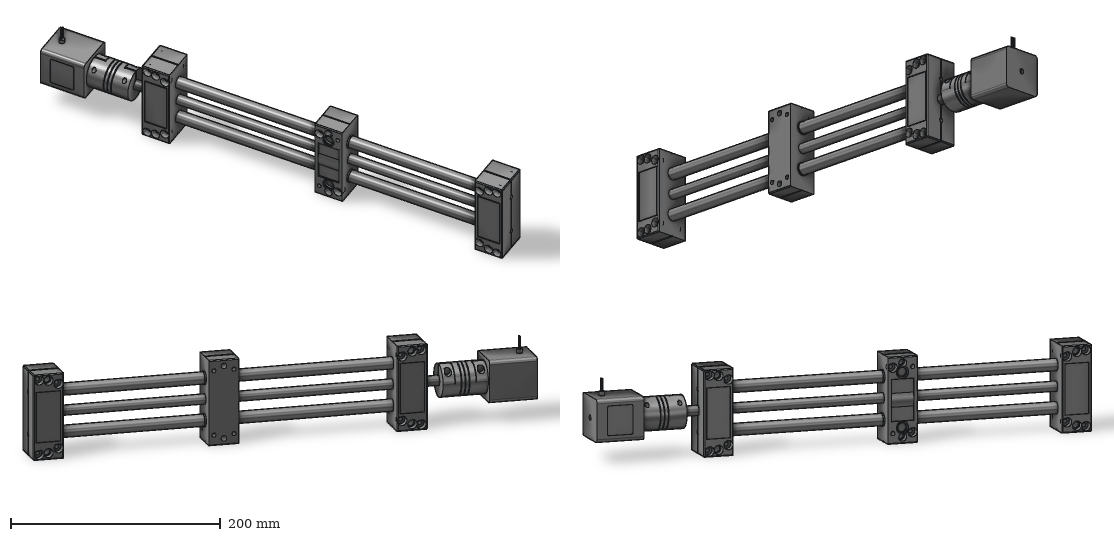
import cadquery as cq

MOTOR_LENGTH = 47.5
MOTOR_WIDTH = 42.0
MOTOR_CORNER_RADIUS = 3.5
LABEL_LENGTH = 25.5
LABEL_HEIGHT = 29.0
LABEL_CORNER_RADIUS = 1.5
LABEL_DEPTH = 0.5
LABEL_X = 23.5
REAR_HOLE_DIAMETER = 5.0
REAR_HOLE_DEPTH = 2.5
GROMMET_X = 12.0
GROMMET_DIAMETER = 5.5
GROMMET_HEIGHT = 4.0
WIRE_DIAMETER = 1.0
WIRE_COUNT = 4
WIRE_PITCH = 1.25
WIRE_TOP_Z = 37.5

COUPLING_LENGTH = 45.0
COUPLING_DIAMETER = 33.0
COUPLING_MID_X = MOTOR_LENGTH + COUPLING_LENGTH / 2
FLEX_SLIT_COUNT = 3
FLEX_SLIT_PITCH = 4.0
FLEX_SLIT_WIDTH = 0.5
FLEX_SLIT_DEPTH = 1.5
CLAMP_LENGTH = 12.0
CLAMP_SLIT_WIDTH = 1.5
CROSS_SLIT_WIDTH = 0.5
CLAMP_SCREW_OFFSET = 16.5
CLAMP_SCREW_Z = 11.0
CLAMP_SCREW_DIAMETER = 4.0
CLAMP_HEAD_DIAMETER = 7.0
CLAMP_HEAD_SEAT_Y = 8.0

SCREW_DIAMETER = 10.0
SCREW_START_X = MOTOR_LENGTH + COUPLING_LENGTH - CLAMP_LENGTH
ROD_DIAMETER = 12.0
ROD_OFFSET = 21.0

OVERALL_LENGTH = 499.5
BLOCK_LENGTH = 30.0
BLOCK_WIDTH = 37.0
BLOCK_HEIGHT = 85.0
BLOCK_CHAMFER = 1.0
FIRST_BLOCK_X = 123.5
LAST_BLOCK_X = OVERALL_LENGTH - BLOCK_LENGTH / 2
BLOCK_POCKET_LENGTH = 24.0
BLOCK_POCKET_HEIGHT = 50.0
BLOCK_POCKET_DEPTH = 1.0
SEAM_WIDTH = 0.75
SEAM_DEPTH = 0.5
ROD_END_HOLE_DIAMETER = 4.0
ROD_END_HOLE_DEPTH = 5.0
MOUNT_HOLE_DIAMETER = 6.5
MOUNT_HEAD_DIAMETER = 9.0
MOUNT_HOLE_Z = 36.0
JOINT_HOLE_DIAMETER = 4.0
JOINT_HEAD_DIAMETER = 9.0
HEAD_DEPTH = 7.0
INNER_JOINT_OFFSET = 10.0
INNER_JOINT_Z = 32.0
OUTER_JOINT_OFFSET = 9.0
OUTER_JOINT_Z = 37.0

CARRIAGE_X = 309.5
CARRIAGE_LENGTH = 29.5
CARRIAGE_WIDTH = 32.0
CARRIAGE_CHAMFER = 1.0
CARRIAGE_POCKET_LENGTH = 22.5
CARRIAGE_POCKET_HEIGHT = 41.0
CARRIAGE_POCKET_DEPTH = 1.5
NUT_HOUSING_DIAMETER = CARRIAGE_WIDTH
BUSH_DIAMETER = 13.0
BUSH_LENGTH = 1.5
CARRIAGE_SEAM = 0.5
CENTRE_HOLE_DIAMETER = 5.5
CENTRE_HEAD_DIAMETER = 8.0
CARRIAGE_HEAD_DIAMETER = 9.0
CARRIAGE_JOINT_X = 10.0
PLAIN_HOLE_DIAMETER = 4.0
DOWEL_Z = 27.0
DOWEL_RECESS_DIAMETER = 12.0
DOWEL_HOLE_DIAMETER = 9.0
DOWEL_RECESS_DEPTH = 1.5
DOWEL_HOLE_DEPTH = 4.0


def rod_along_x(diameter, start_x, end_x, z=0.0):
    """Solid cylinder parallel to X."""
    length = end_x - start_x
    return cq.Workplane("YZ", origin=(start_x, 0, z)).circle(diameter / 2).extrude(length)


def rod_along_y(diameter, x, z, start_y, end_y):
    """Solid cylinder parallel to Y."""
    plane = cq.Workplane("XZ", origin=(x, start_y, z))
    return plane.circle(diameter / 2).extrude(start_y - end_y)


def box(length, width, height, centre):
    """Box with sides along X, Y and Z, placed by its centre."""
    return cq.Workplane("XY").box(length, width, height).translate(centre)


def make_motor():
    motor = box(MOTOR_LENGTH, MOTOR_WIDTH, MOTOR_WIDTH, (MOTOR_LENGTH / 2, 0, 0))
    motor = motor.edges("|X").fillet(MOTOR_CORNER_RADIUS)

    label = box(LABEL_LENGTH, 2 * LABEL_DEPTH, LABEL_HEIGHT, (LABEL_X, -MOTOR_WIDTH / 2, 0))
    motor = motor.cut(label.edges("|Y").fillet(LABEL_CORNER_RADIUS))
    motor = motor.cut(rod_along_x(REAR_HOLE_DIAMETER, 0, REAR_HOLE_DEPTH))

    top = cq.Workplane("XY", origin=(GROMMET_X, 0, MOTOR_WIDTH / 2))
    motor = motor.union(top.circle(GROMMET_DIAMETER / 2).extrude(GROMMET_HEIGHT))
    wires = top.rarray(5, WIRE_PITCH, 1, WIRE_COUNT).circle(WIRE_DIAMETER / 2)
    return motor.union(wires.extrude(WIRE_TOP_Z - MOTOR_WIDTH / 2))


def make_coupling():
    radius = COUPLING_DIAMETER / 2
    end_x = MOTOR_LENGTH + COUPLING_LENGTH
    coupling = rod_along_x(COUPLING_DIAMETER, MOTOR_LENGTH, end_x)

    for index in range(FLEX_SLIT_COUNT):
        slit_x = COUPLING_MID_X + (index - (FLEX_SLIT_COUNT - 1) / 2) * FLEX_SLIT_PITCH
        slit_start = slit_x - FLEX_SLIT_WIDTH / 2
        slit = cq.Workplane("YZ", origin=(slit_start, 0, 0)).circle(radius)
        coupling = coupling.cut(slit.circle(radius - FLEX_SLIT_DEPTH).extrude(FLEX_SLIT_WIDTH))

    for side in (-1, 1):
        clamp_x = COUPLING_MID_X + side * (COUPLING_LENGTH - CLAMP_LENGTH) / 2
        cross_x = COUPLING_MID_X + side * (COUPLING_LENGTH / 2 - CLAMP_LENGTH)
        screw_x = COUPLING_MID_X + side * CLAMP_SCREW_OFFSET
        coupling = coupling.cut(box(CLAMP_LENGTH, CLAMP_SLIT_WIDTH, radius, (clamp_x, 0, radius / 2)))
        coupling = coupling.cut(box(CROSS_SLIT_WIDTH, radius, radius, (cross_x, radius / 2, radius / 2)))
        coupling = coupling.cut(rod_along_y(CLAMP_SCREW_DIAMETER, screw_x, CLAMP_SCREW_Z, -radius, 0))
        coupling = coupling.cut(
            rod_along_y(CLAMP_HEAD_DIAMETER, screw_x, CLAMP_SCREW_Z, CLAMP_HEAD_SEAT_Y, radius)
        )
    return coupling


def make_screw():
    """Screw running from the coupling clamp to the middle of the last end block."""
    return rod_along_x(SCREW_DIAMETER, SCREW_START_X, LAST_BLOCK_X)


def cut_two_sided_hole(body, x, z, hole_diameter, head_diameter):
    """Hole through Y with a counterbore in both the -Y and +Y faces."""
    half_width = BLOCK_WIDTH / 2
    body = body.cut(rod_along_y(hole_diameter, x, z, -half_width, half_width))
    for side in (-1, 1):
        seat_y = side * (half_width - HEAD_DEPTH)
        body = body.cut(rod_along_y(head_diameter, x, z, seat_y, side * half_width))
    return body


def make_end_block(centre_x, outward):
    """End block; outward is the X direction pointing away from the carriage."""
    outer_face = ">X" if outward > 0 else "<X"
    block = box(BLOCK_LENGTH, BLOCK_WIDTH, BLOCK_HEIGHT, (centre_x, 0, 0))
    block = block.faces(f"{outer_face} or <Y or >Y").edges().chamfer(BLOCK_CHAMFER)

    outer_x = centre_x + outward * BLOCK_LENGTH / 2
    block = block.cut(box(2 * SEAM_DEPTH, SEAM_WIDTH, BLOCK_HEIGHT, (outer_x, 0, 0)))
    for side in (-1, 1):
        seam_centre = (centre_x, 0, side * BLOCK_HEIGHT / 2)
        block = block.cut(box(BLOCK_LENGTH, SEAM_WIDTH, 2 * SEAM_DEPTH, seam_centre))
        pocket_centre = (centre_x, side * BLOCK_WIDTH / 2, 0)
        pocket = box(BLOCK_POCKET_LENGTH, 2 * BLOCK_POCKET_DEPTH, BLOCK_POCKET_HEIGHT, pocket_centre)
        block = block.cut(pocket)

    inner_x = centre_x - outward * INNER_JOINT_OFFSET
    joint_x = centre_x + outward * OUTER_JOINT_OFFSET
    for side in (-1, 1):
        block = cut_two_sided_hole(
            block, centre_x, side * MOUNT_HOLE_Z, MOUNT_HOLE_DIAMETER, MOUNT_HEAD_DIAMETER
        )
        block = cut_two_sided_hole(
            block, inner_x, side * INNER_JOINT_Z, JOINT_HOLE_DIAMETER, JOINT_HEAD_DIAMETER
        )
        block = cut_two_sided_hole(
            block, joint_x, side * OUTER_JOINT_Z, JOINT_HOLE_DIAMETER, JOINT_HEAD_DIAMETER
        )
    return block


def cut_rod_end_holes(frame):
    """Blind holes on the rod axes, in the outer face at each end of the frame."""
    first_x = FIRST_BLOCK_X - BLOCK_LENGTH / 2
    for side in (-1, 1):
        for start_x in (first_x, OVERALL_LENGTH - ROD_END_HOLE_DEPTH):
            end_x = start_x + ROD_END_HOLE_DEPTH
            frame = frame.cut(rod_along_x(ROD_END_HOLE_DIAMETER, start_x, end_x, side * ROD_OFFSET))
    return frame


def make_frame(screw):
    """Two end blocks joined by the guide rods."""
    frame = make_end_block(FIRST_BLOCK_X, -1)
    for side in (-1, 1):
        frame = frame.union(rod_along_x(ROD_DIAMETER, FIRST_BLOCK_X, LAST_BLOCK_X, side * ROD_OFFSET))
    frame = frame.union(make_end_block(LAST_BLOCK_X, 1))
    return cut_rod_end_holes(frame).cut(screw)


def make_carriage(screw):
    front_y = -CARRIAGE_WIDTH / 2
    carriage = box(CARRIAGE_LENGTH, CARRIAGE_WIDTH, BLOCK_HEIGHT, (CARRIAGE_X, 0, 0))
    carriage = carriage.edges("|X").chamfer(CARRIAGE_CHAMFER)

    pocket_width = 2 * CARRIAGE_POCKET_DEPTH
    pocket = box(CARRIAGE_POCKET_LENGTH, pocket_width, CARRIAGE_POCKET_HEIGHT, (CARRIAGE_X, front_y, 0))
    half_length = CARRIAGE_LENGTH / 2
    start_x = CARRIAGE_X - half_length
    end_x = CARRIAGE_X + half_length
    carriage = carriage.cut(pocket.cut(rod_along_x(NUT_HOUSING_DIAMETER, start_x, end_x)))

    for side in (-1, 1):
        seam_centre = (CARRIAGE_X, 0, side * BLOCK_HEIGHT / 2)
        carriage = carriage.cut(box(CARRIAGE_LENGTH, CARRIAGE_SEAM, 2 * SEAM_DEPTH, seam_centre))

        rod_z = side * ROD_OFFSET
        carriage = carriage.union(
            rod_along_x(BUSH_DIAMETER, start_x - BUSH_LENGTH, end_x + BUSH_LENGTH, rod_z)
        )
        carriage = carriage.cut(rod_along_x(ROD_DIAMETER, FIRST_BLOCK_X, LAST_BLOCK_X, rod_z))

        hole_z = side * MOUNT_HOLE_Z
        carriage = carriage.cut(rod_along_y(CENTRE_HOLE_DIAMETER, CARRIAGE_X, hole_z, front_y, -front_y))
        carriage = carriage.cut(
            rod_along_y(CENTRE_HEAD_DIAMETER, CARRIAGE_X, hole_z, front_y, front_y + HEAD_DEPTH)
        )

        joint_z = side * INNER_JOINT_Z
        head_x = CARRIAGE_X - side * CARRIAGE_JOINT_X
        plain_x = CARRIAGE_X + side * CARRIAGE_JOINT_X
        carriage = carriage.cut(rod_along_y(JOINT_HOLE_DIAMETER, head_x, joint_z, front_y, -front_y))
        carriage = carriage.cut(
            rod_along_y(CARRIAGE_HEAD_DIAMETER, head_x, joint_z, front_y, front_y + HEAD_DEPTH)
        )
        carriage = carriage.cut(rod_along_y(PLAIN_HOLE_DIAMETER, plain_x, joint_z, front_y, -front_y))

        dowel_z = side * DOWEL_Z
        carriage = carriage.cut(
            rod_along_y(DOWEL_RECESS_DIAMETER, CARRIAGE_X, dowel_z, front_y, front_y + DOWEL_RECESS_DEPTH)
        )
        carriage = carriage.cut(
            rod_along_y(DOWEL_HOLE_DIAMETER, CARRIAGE_X, dowel_z, front_y, front_y + DOWEL_HOLE_DEPTH)
        )
    return carriage.cut(screw)


screw = make_screw()
motor = make_motor()
coupling = make_coupling().cut(screw)
frame = make_frame(screw)
carriage = make_carriage(screw)

result = cq.Compound.makeCompound(
    [motor.val(), coupling.val(), screw.val(), frame.val(), carriage.val()]
)